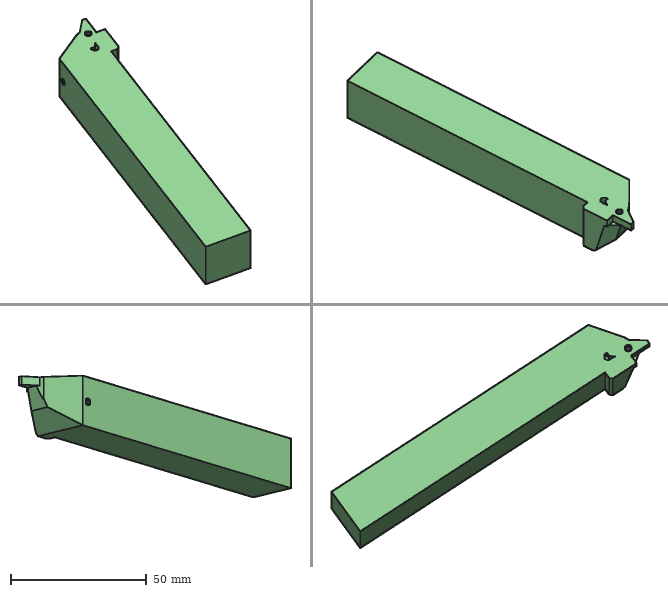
import cadquery as cq

length = 130.0
shank_height = 19.1
shank_width = 18.8
head_width = 22.5
head_start = 8.3
head_end = 20.0
head_chamfer = 1.0

insert_thickness = 3.2
insert_center_x = 7.5
insert_center_y = 15.9
nose_flat = 1.5
insert_shoulder = 9.0
seat_z = shank_height - insert_thickness

nose_x = 5.0
nose_lip = 0.8
nose_lean = 2.0
chamfer_top_z = 7.4
side_start_x = 14.5
side_end_x = 6.1
side_end_y = 11.8
corner_mid = (5.5, 13.4)
corner_start_y = 14.0
flank_run_per_rise = 1.35

slot_start_x = 10.7
slot_end_x = 17.0
slot_width = 2.9

screw_radius = 1.3
screw_socket_radius = 0.8
screw_socket_depth = 1.3
screw_recess = 0.1
side_screw_x = 17.4
side_screw_z = 9.6


def prism(points, bottom, top):
    """Vertical prism over a closed plan outline."""
    return cq.Workplane("XY").workplane(offset=bottom).polyline(points).close().extrude(top - bottom)


def make_body():
    """Shank and widened head, with the oblique front side in plan."""
    return (
        cq.Workplane("XY")
        .moveTo(side_start_x, 0)
        .lineTo(length, 0)
        .lineTo(length, shank_width)
        .lineTo(head_end, shank_width)
        .lineTo(head_end, head_width - head_chamfer)
        .lineTo(head_end - head_chamfer, head_width)
        .lineTo(nose_x, head_width)
        .lineTo(nose_x, corner_start_y)
        .threePointArc(corner_mid, (side_end_x, side_end_y))
        .close()
        .extrude(shank_height)
    )


def nose_profile():
    """Side outline: short lip, leaning front and sloped underside."""
    return [
        (nose_x, shank_height),
        (nose_x, seat_z - nose_lip),
        (nose_x + nose_lean, chamfer_top_z),
        (side_start_x, 0),
        (length, 0),
        (length, shank_height),
    ]


def trim_nose(body):
    profile = cq.Workplane("XZ").polyline(nose_profile()).close().extrude(-head_width)
    return body.intersect(profile)


def trim_flank(body):
    """Cut the back of the nose along an oblique plane that leans with its front."""
    lean_per_height = nose_lean / (seat_z - nose_lip - chamfer_top_z)
    flank_run = flank_run_per_rise * (head_width - shank_width)

    def wedge(z):
        x = nose_x + lean_per_height * (seat_z - nose_lip - z)
        return [(x, shank_width), (x + flank_run, head_width), (x - flank_run, head_width)]

    cutter = (
        cq.Workplane("XY").polyline(wedge(0)).close()
        .workplane(offset=seat_z).polyline(wedge(seat_z)).close()
        .loft(ruled=True)
    )
    return body.cut(cutter)


def cut_seat(body):
    """Clear the back corner of the head down to the insert seat."""
    opening = [(0, 0), (head_start, 0), (head_start, head_width), (0, head_width)]
    behind_insert = [(x, max(y, insert_center_y)) for x, y in opening]
    return body.cut(prism(behind_insert, seat_z, shank_height))


def insert_outline():
    half = [
        (-insert_center_x, shank_width - insert_center_y - nose_flat),
        (-insert_center_x, shank_width - insert_center_y),
        (insert_shoulder - insert_center_x, shank_width - insert_center_y),
    ]
    opposite = [(-x, -y) for x, y in half]
    return [(insert_center_x + x, insert_center_y + y) for x, y in half + opposite]


def make_slot():
    """Round-ended pocket flush with the front edge of the insert."""
    radius = slot_width / 2
    center_y = 2 * insert_center_y - shank_width + radius
    end_x = slot_end_x - radius
    bar_length = end_x - slot_start_x
    bar = cq.Workplane("XY").box(bar_length, slot_width, insert_thickness, centered=(False, True, False))
    bar = bar.translate((slot_start_x, center_y, seat_z))
    end = cq.Workplane("XY").circle(radius).extrude(insert_thickness)
    return bar.union(end.translate((end_x, center_y, seat_z)))


def screw_cut(plane):
    """Shallow round recess with a deeper central socket."""
    recess = plane.circle(screw_radius).extrude(-screw_recess)
    return recess.union(plane.circle(screw_socket_radius).extrude(-screw_socket_depth))


body = cut_seat(trim_flank(trim_nose(make_body())))
body = body.cut(make_slot()).union(prism(insert_outline(), seat_z, shank_height))
insert_screw_plane = cq.Workplane("XY", origin=(insert_center_x, insert_center_y, shank_height))
side_screw_plane = cq.Workplane("XZ", origin=(side_screw_x, 0, side_screw_z))
result = body.cut(screw_cut(insert_screw_plane)).cut(screw_cut(side_screw_plane))